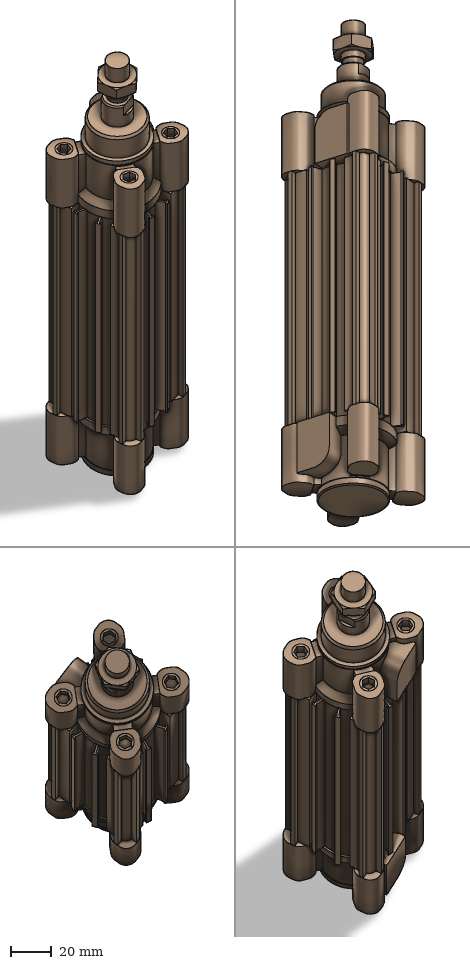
import cadquery as cq
import math


total_length = 263.0
rear_collar_length = 4.0
cap_length = 32.5
tube_length = 140.0
tube_bottom = rear_collar_length + cap_length
tube_top = tube_bottom + tube_length
head_face = tube_top + cap_length

width = 54.0
screw_pitch = 38.0
post_size = width - screw_pitch
post_corner_radius = 6.0
post_bevel = 5.4
post_blend_radius = 5.7
post_inner_distance = 20.5
neck_width = 9.4
neck_drop = 1.0
core_radius = 17.5
flange_radius = 21.6
flange_height = 5.4
flange_cone_height = 3.4

port_drop = 4.5
port_axis_x = -5.0
port_shoulder_radius = 9.3
port_block_reach = 14.0

collar_radius = 17.9
rear_collar_chamfer = 0.7
head_collar_step = 3.0
guide_radius = 15.8
guide_length = 13.5
guide_chamfer = 1.2

screw_diameter = 8.8
socket_across_flats = 6.0
socket_depth = 6.0

barrel_radius = 20.5
rail_inner = 11.3
rail_outer = 24.0
lip_start = 18.0
lip_end = 20.3
lip_reach = 26.9
fin_root = (4.2, -19.5)
fin_tip = (6.7, -25.4)
fin_thickness = 1.0
fin_head_width = 2.8
fin_lean = -3.0

rod_diameter = 16.0
thread_diameter = 12.0
undercut_diameter = 10.5
thread_length = 20.0
shoulder_depth = 24.0
shoulder_chamfer = 0.8
wrench_flat = 13.0
wrench_flat_length = 6.3
nut_across_flats = 19.0
nut_height = 7.0
nut_depth = 9.5
nut_chamfer_height = 0.6

quarter_turns = (0, 90, 180, 270)


def cylinder(radius, bottom, height):
    """Round bar on the Z axis."""
    return cq.Workplane("XY").workplane(offset=bottom).circle(radius).extrude(height)


def hexagon(across_flats):
    """Diameter of the circle through the corners of a hexagon."""
    return across_flats / math.cos(math.radians(30))


def cap_post():
    """Corner post on the +X +Y diagonal, cut flat toward the axis."""
    centre = screw_pitch / 2
    post = (
        cq.Workplane("XY")
        .center(centre, centre)
        .rect(post_size, post_size)
        .extrude(cap_length)
        .edges("|Z")
        .edges(">(1, 1, 0)")
        .fillet(post_corner_radius)
    )
    for side in (">(1, -1, 0)", "<(1, -1, 0)"):
        post = post.edges("|Z").edges(side).chamfer(post_bevel)
        post = post.faces(side).edges("|Z").fillet(post_blend_radius)
    inner_side = (
        cq.Workplane("XY")
        .rect(2 * post_inner_distance, width)
        .extrude(cap_length)
        .rotate((0, 0, 0), (0, 0, 1), 45)
    )
    return post.cut(inner_side)


def cap_neck():
    """Web from the axis to the post on the +X +Y diagonal."""
    reach = screw_pitch / math.sqrt(2) - post_size / 4
    neck = cq.Workplane("XY").center(reach / 2, 0).rect(reach, neck_width)
    return neck.extrude(cap_length - neck_drop).rotate((0, 0, 0), (0, 0, 1), 45)


def port_block():
    """Block flush with the +Y side, with one rounded shoulder."""
    top = cap_length - port_drop
    left = -screw_pitch / 2 + post_size / 4
    right = port_axis_x + port_shoulder_radius
    side = width / 2
    outline = (
        cq.Workplane("XZ", origin=(0, side, 0))
        .moveTo(left, 0)
        .lineTo(left, top)
        .lineTo(port_axis_x, top)
        .radiusArc((right, top - port_shoulder_radius), port_shoulder_radius)
        .lineTo(right, 0)
        .close()
    )
    return outline.extrude(side - port_block_reach)


def cap_casting():
    """Cap without collar: tube joint at Z = 0, outside face at the top."""
    flange_profile = (
        cq.Workplane("XZ")
        .lineTo(flange_radius, 0)
        .lineTo(flange_radius, flange_height)
        .lineTo(core_radius, flange_height + flange_cone_height)
        .lineTo(core_radius, cap_length)
        .lineTo(0, cap_length)
        .close()
    )
    casting = flange_profile.revolve(360, (0, 0, 0), (0, 1, 0))
    arm = cap_post().union(cap_neck())
    for angle in quarter_turns:
        casting = casting.union(arm.rotate((0, 0, 0), (0, 0, 1), angle))
    return casting.union(port_block())


def make_head_cap():
    """Cap on the rod side, bored for the rod and the four screws."""
    guide_bottom = head_face + head_collar_step
    cap = cap_casting().translate((0, 0, tube_top))
    cap = cap.union(cylinder(collar_radius, head_face, head_collar_step))
    guide = cylinder(guide_radius, guide_bottom, guide_length).faces(">Z").chamfer(guide_chamfer)
    cap = cap.union(guide)
    cap = cap.cut(cylinder(rod_diameter / 2, tube_top, total_length - tube_top))
    screw_holes = (
        cq.Workplane("XY")
        .workplane(offset=tube_top)
        .rect(screw_pitch, screw_pitch, forConstruction=True)
        .vertices()
        .circle(screw_diameter / 2)
        .extrude(cap_length)
    )
    return cap.cut(screw_holes)


def make_end_cap():
    """Cap on the closed side: the same casting turned over, with a short collar."""
    casting = cap_casting().rotate((0, 0, 0), (0, 1, 0), 180).translate((0, 0, tube_bottom))
    collar = cylinder(collar_radius, 0, rear_collar_length).faces("<Z").chamfer(rear_collar_chamfer)
    return casting.union(collar)


def make_screw(angle):
    """Mounting screw flush with the head face; its hexagon socket turns with the corner."""
    centre = screw_pitch / 2
    socket = (
        cq.Workplane("XY")
        .workplane(offset=head_face - socket_depth)
        .polygon(6, hexagon(socket_across_flats))
        .extrude(socket_depth)
    )
    screw = cylinder(screw_diameter / 2, tube_top, cap_length).cut(socket)
    return screw.translate((centre, -centre, 0)).rotate((0, 0, 0), (0, 0, 1), angle)


def tube_rail():
    """Corner rail on the +X +Y diagonal, with one lip along each outside face."""
    round_centre = screw_pitch / 2
    rail = (
        cq.Workplane("XY")
        .moveTo(rail_inner, rail_inner)
        .lineTo(rail_outer, rail_inner)
        .lineTo(rail_outer, round_centre)
        .radiusArc((round_centre, rail_outer), round_centre - rail_outer)
        .lineTo(rail_inner, rail_outer)
        .close()
        .extrude(tube_length)
    )
    lip_width = lip_end - lip_start
    lip_length = lip_reach - lip_start
    lip = cq.Workplane("XY").box(lip_width, lip_length, tube_length, centered=False)
    rail = rail.union(lip.translate((lip_start, lip_start, 0)))
    lip = cq.Workplane("XY").box(lip_length, lip_width, tube_length, centered=False)
    return rail.union(lip.translate((lip_start, lip_start, 0)))


def tube_fin_pair():
    """Two splayed T-shaped fins on the -Y side."""
    run_x = fin_tip[0] - fin_root[0]
    run_y = fin_tip[1] - fin_root[1]
    stem_length = math.hypot(run_x, run_y)
    stem = cq.Workplane("XY").center(stem_length / 2, 0).rect(stem_length, fin_thickness)
    head = cq.Workplane("XY").center(stem_length, 0).rect(fin_thickness, fin_head_width)
    fin = stem.extrude(tube_length).union(head.extrude(tube_length))
    fin = fin.rotate((0, 0, 0), (0, 0, 1), math.degrees(math.atan2(run_y, run_x)))
    fin = fin.translate((*fin_root, 0))
    return fin.union(fin.mirror("YZ")).rotate((0, 0, 0), (0, 0, 1), fin_lean)


def make_tube():
    """Extruded profile between the caps: barrel, corner rails and fins."""
    tube = cylinder(barrel_radius, 0, tube_length)
    rail = tube_rail()
    fins = tube_fin_pair()
    for angle in quarter_turns:
        tube = tube.union(rail.rotate((0, 0, 0), (0, 0, 1), angle))
        tube = tube.union(fins.rotate((0, 0, 0), (0, 0, 1), angle))
    return tube.translate((0, 0, tube_bottom))


def make_rod():
    """Piston rod with wrench flats facing X, an undercut and a threaded end."""
    shoulder = total_length - shoulder_depth
    thread_end = total_length - thread_length
    rod = cylinder(rod_diameter / 2, tube_top, shoulder - tube_top)
    rod = rod.faces(">Z").chamfer(shoulder_chamfer)
    flat_bottom = shoulder - wrench_flat_length
    flat_zone = cylinder(rod_diameter, flat_bottom, wrench_flat_length)
    between_flats = (
        cq.Workplane("XY")
        .workplane(offset=flat_bottom)
        .rect(wrench_flat, 2 * rod_diameter)
        .extrude(wrench_flat_length)
    )
    rod = rod.cut(flat_zone.cut(between_flats))
    rod = rod.union(cylinder(undercut_diameter / 2, shoulder, thread_end - shoulder))
    return rod.union(cylinder(thread_diameter / 2, thread_end, thread_length))


def make_nut():
    """Hexagon lock nut with its corners rounded off at both faces."""
    bottom = total_length - nut_depth - nut_height
    corner_diameter = hexagon(nut_across_flats)
    blank = (
        cq.Workplane("XY")
        .workplane(offset=bottom)
        .polygon(6, corner_diameter)
        .circle(thread_diameter / 2)
        .extrude(nut_height)
    )
    chamfer_width = (corner_diameter - nut_across_flats) / 2
    envelope = cylinder(corner_diameter / 2, bottom, nut_height)
    envelope = envelope.faces("<Z or >Z").chamfer(nut_chamfer_height, chamfer_width)
    return blank.intersect(envelope)


head_cap = make_head_cap()
end_cap = make_end_cap()
tube = make_tube()
rod = make_rod()
nut = make_nut()
screws = [make_screw(angle) for angle in quarter_turns]

result = cq.Compound.makeCompound(
    [
        head_cap.val(),
        end_cap.val(),
        tube.val(),
        rod.val(),
        nut.val(),
        *[screw.val() for screw in screws],
    ]
)